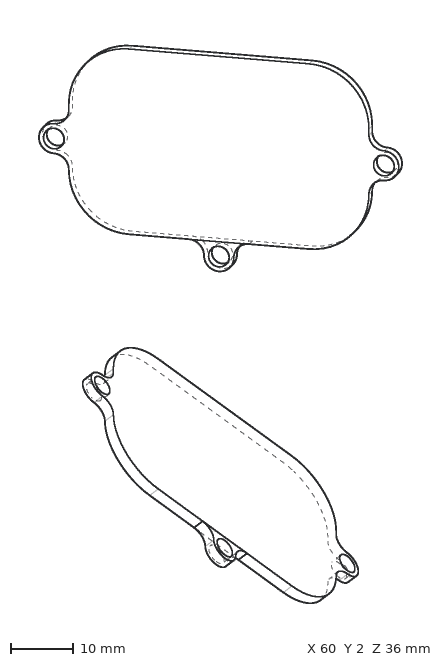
import cadquery as cq

OVERALL_WIDTH = 60.0
OVERALL_HEIGHT = 36.0
THICKNESS = 2.0
PLATE_HEIGHT = 31.0
CORNER_RADIUS = 10.0
HOLE_DIAMETER = 3.4

LUG_RADIUS = (OVERALL_HEIGHT - PLATE_HEIGHT) / 2
LUG_REACH = 2 * LUG_RADIUS
PLATE_WIDTH = OVERALL_WIDTH - 2 * LUG_REACH

PLATE_BOTTOM = -PLATE_HEIGHT / 2
SIDE_LUG_Z = PLATE_BOTTOM + CORNER_RADIUS + LUG_REACH


def make_lug(edge_x, edge_z, turn):
    """Pierced lug on a plate edge; it hangs down at turn 0 and turns about the Y axis."""
    r = LUG_RADIUS
    lug = (
        cq.Workplane("XZ")
        .moveTo(-LUG_REACH, 0)
        .radiusArc((-r, -r), r)
        .threePointArc((0, -LUG_REACH), (r, -r))
        .radiusArc((LUG_REACH, 0), r)
        .close()
        .extrude(THICKNESS / 2, both=True)
    )
    hole = (
        cq.Workplane("XZ")
        .center(0, -r)
        .circle(HOLE_DIAMETER / 2)
        .extrude(THICKNESS / 2, both=True)
    )
    return (
        lug.cut(hole)
        .rotate((0, 0, 0), (0, 1, 0), turn)
        .translate((edge_x, 0, edge_z))
    )


def make_cover_plate():
    """Rounded plate with a lug on each side."""
    plate = (
        cq.Workplane("XY")
        .box(PLATE_WIDTH, THICKNESS, PLATE_HEIGHT)
        .edges("|Y")
        .fillet(CORNER_RADIUS)
    )
    for side, turn in ((-1, 90), (1, -90)):
        plate = plate.union(make_lug(side * PLATE_WIDTH / 2, SIDE_LUG_Z, turn))
    return plate


cover_plate = make_cover_plate()

bottom_lug = make_lug(0, PLATE_BOTTOM, 0)

result = cq.Compound.makeCompound([cover_plate.val(), bottom_lug.val()])